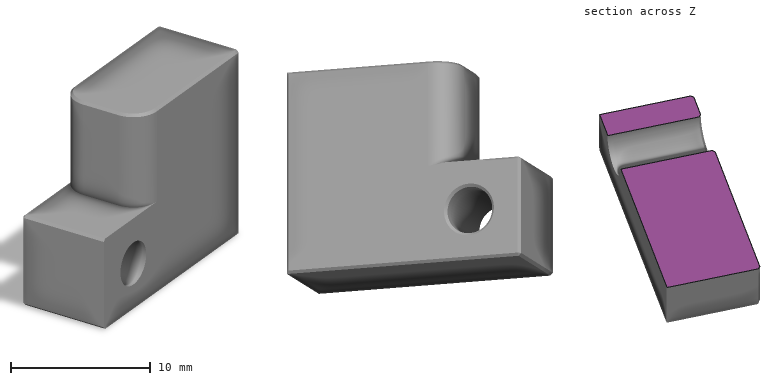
import cadquery as cq

width = 7.0
length = 17.8
height = 14.8

step_length = 5.0
step_height = 7.3
tower_radius = 2.0
edge_chamfer = 0.2

hole_diameter = 3.4
hole_from_front = 3.9
hole_height = step_height / 2

tower_length = length - step_length


def box_from_corner(size_x, size_y, size_z, start_y=0.0):
    """Box with its left bottom edge on X = 0, Z = 0."""
    return cq.Workplane("XY").box(size_x, size_y, size_z, centered=False).translate((0, start_y, 0))


def make_base():
    """Full-length lower block, chamfered on its front, left and bottom edges."""
    base = box_from_corner(width, length, step_height)
    left_edges = base.faces("<X").edges()
    return left_edges.add(base.faces("<Y").edges("|X")).chamfer(edge_chamfer)


def make_tower():
    """Full-height rear block with a rounded front and a chamfered top rim."""
    tower = box_from_corner(width, tower_length, height, step_length)
    tower = tower.faces("<Y").edges("|Z").fillet(tower_radius)
    rim = tower.faces(">Z").edges("not >Y")
    tower = rim.chamfer(edge_chamfer)
    tower = tower.faces("<X").edges(">Y").chamfer(edge_chamfer)
    return tower.faces("<X").edges("<Z").chamfer(edge_chamfer)


def make_hole():
    """Cross hole with a countersink at its left mouth."""
    bore = cq.Workplane("YZ").circle(hole_diameter / 2).extrude(width)
    mouth = cq.Workplane(
        cq.Solid.makeCone(
            hole_diameter / 2 + edge_chamfer,
            hole_diameter / 2,
            edge_chamfer,
            dir=cq.Vector(1, 0, 0),
        )
    )
    return bore.union(mouth).translate((0, hole_from_front, hole_height))


result = make_base().union(make_tower()).cut(make_hole())